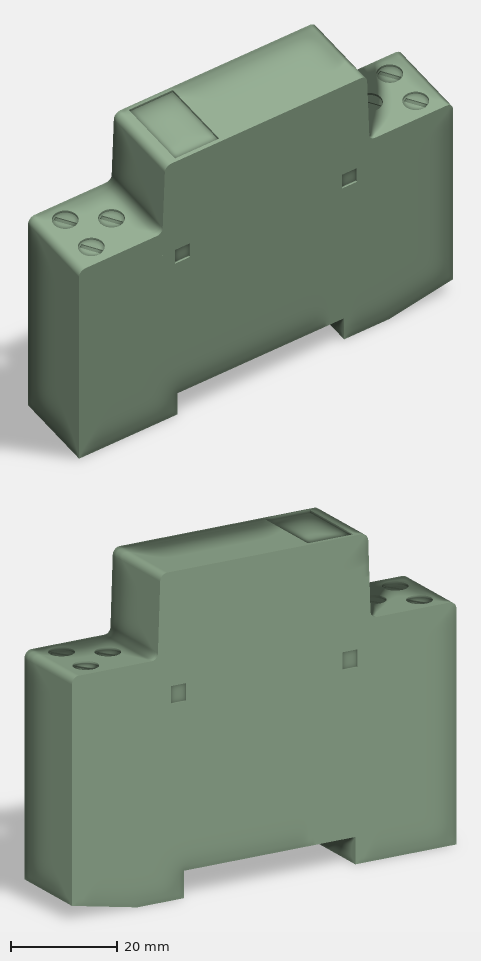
import cadquery as cq

LENGTH = 84.0
WIDTH = 17.5
HEIGHT = 65.5

SPLIT_Z = 42.75
CHANNEL_FRONT_Y = -19.9
CHANNEL_BACK_Y = 17.55
CHANNEL_DEPTH = 5.5
BEVEL_HEIGHT = 2.85
BEVEL_END_Y = 27.7

SHOULDER_Z = 48.5
RAISED_TOP_LENGTH = 45.4
RAISED_FOOT_LENGTH = 46.5
CORNER_RADIUS = 1.5
FOOT_RADIUS = 1.35

TAB_OFFSET_Y = 18.7
TAB_LENGTH = 3.4
TAB_HEIGHT = 3.5
NOTCH_DEPTH = 1.7
TAB_SETBACK = 0.4

LABEL_WIDTH = 15.9
LABEL_LENGTH = 9.9
LABEL_CENTRE_Y = -14.95
LABEL_DEPTH = 0.5

SCREW_DIAMETER = 5.0
SCREW_DEPTH = 0.5
SLOT_LENGTH = 4.4
SLOT_WIDTH = 1.0
SLOT_DEPTH = 0.25
SLOT_ANGLE = 34.0
OUTER_SCREW_X = 4.45
OUTER_SCREW_Y = 36.45
INNER_SCREW_Y = 29.0


def extrude_profile(points):
    """Extrude a closed outline of (Y, Z) points across the full width."""
    return cq.Workplane("YZ").polyline(points).close().extrude(WIDTH / 2, both=True)


def side_blocks(outer_x, inner_x):
    """Return the four blocks at the snap positions, between two distances from the centre plane."""
    thickness = outer_x - inner_x
    blocks = []
    for side in (-1, 1):
        for end in (-1, 1):
            centre = (side * (outer_x + inner_x) / 2, end * TAB_OFFSET_Y, SPLIT_Z - TAB_HEIGHT / 2)
            block = cq.Workplane("XY").box(thickness, TAB_LENGTH, TAB_HEIGHT).translate(centre)
            blocks.append(block)
    return blocks


def make_base():
    """Base with a rail channel, a bevelled lower back edge and four snap notches."""
    base = extrude_profile([
        (-LENGTH / 2, SPLIT_Z),
        (-LENGTH / 2, 0),
        (CHANNEL_FRONT_Y, 0),
        (CHANNEL_FRONT_Y, CHANNEL_DEPTH),
        (CHANNEL_BACK_Y, CHANNEL_DEPTH),
        (CHANNEL_BACK_Y, 0),
        (BEVEL_END_Y, 0),
        (LENGTH / 2, BEVEL_HEIGHT),
        (LENGTH / 2, SPLIT_Z),
    ])
    for notch in side_blocks(WIDTH / 2, WIDTH / 2 - NOTCH_DEPTH):
        base = base.cut(notch)
    return base


def make_cover_shell():
    """Stepped cover block with every step edge above the split rounded."""
    cover = extrude_profile([
        (-LENGTH / 2, SPLIT_Z),
        (LENGTH / 2, SPLIT_Z),
        (LENGTH / 2, SHOULDER_Z),
        (RAISED_FOOT_LENGTH / 2, SHOULDER_Z),
        (RAISED_TOP_LENGTH / 2, HEIGHT),
        (-RAISED_TOP_LENGTH / 2, HEIGHT),
        (-RAISED_FOOT_LENGTH / 2, SHOULDER_Z),
        (-LENGTH / 2, SHOULDER_Z),
    ])
    rounded_steps = (
        (RAISED_FOOT_LENGTH / 2, SHOULDER_Z, FOOT_RADIUS),
        (RAISED_TOP_LENGTH / 2, HEIGHT, CORNER_RADIUS),
        (LENGTH / 2, SHOULDER_Z, CORNER_RADIUS),
    )
    for step_y, step_z, radius in rounded_steps:
        for end in (-1, 1):
            edge_middle = (0, end * step_y, step_z)
            cover = cover.edges(cq.selectors.NearestToPointSelector(edge_middle)).fillet(radius)
    return cover


def cut_label(cover):
    """Sink the rectangular label recess into the top face."""
    label = (
        cq.Workplane("XY", origin=(0, LABEL_CENTRE_Y, HEIGHT))
        .rect(LABEL_WIDTH, LABEL_LENGTH)
        .extrude(-LABEL_DEPTH)
    )
    return cover.cut(label)


def screw_recess(x, y):
    """Round recess down to a screw head, with the driver slot cut below it."""
    recess = cq.Workplane("XY").circle(SCREW_DIAMETER / 2).extrude(-SCREW_DEPTH)
    slot = (
        cq.Workplane("XY")
        .rect(SLOT_LENGTH, SLOT_WIDTH)
        .extrude(-SCREW_DEPTH - SLOT_DEPTH)
        .rotate((0, 0, 0), (0, 0, 1), SLOT_ANGLE)
    )
    return recess.union(slot).translate((x, y, SHOULDER_Z))


def cut_screws(cover):
    """Cut a triangle of three screws into each shoulder."""
    for end in (-1, 1):
        for x, y in ((-OUTER_SCREW_X, OUTER_SCREW_Y), (OUTER_SCREW_X, OUTER_SCREW_Y), (0, INNER_SCREW_Y)):
            cover = cover.cut(screw_recess(x, end * y))
    return cover


def make_cover():
    """Cover with its label recess, terminal screws and snap tabs."""
    cover = cut_screws(cut_label(make_cover_shell()))
    for tab in side_blocks(WIDTH / 2 - TAB_SETBACK, WIDTH / 2 - NOTCH_DEPTH):
        cover = cover.union(tab)
    return cover


base = make_base()
cover = make_cover()

result = cq.Compound.makeCompound([base.val(), cover.val()])